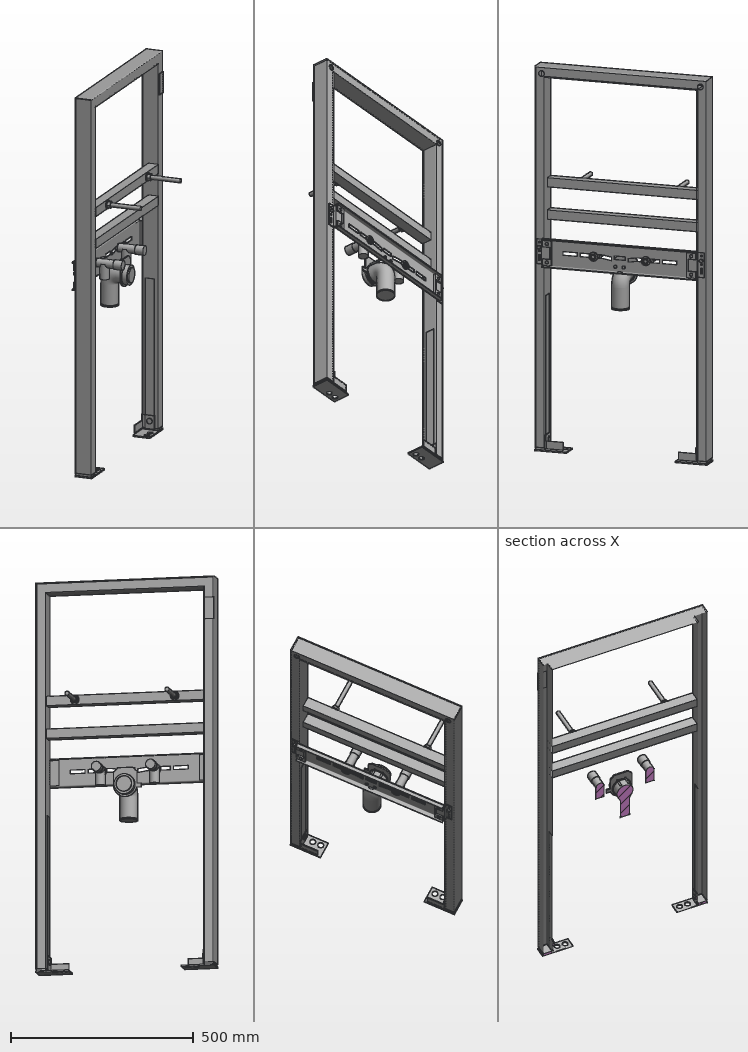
import cadquery as cq

FRAME_WIDTH = 500.0
FRAME_HEIGHT = 1085.0
TUBE_WIDTH = 30.0
TUBE_DEPTH = 50.0
TUBE_WALL = 3.0
TUBE_CORNER_RADIUS = 2.0
OUTER_Y = FRAME_WIDTH / 2
INNER_Y = OUTER_Y - TUBE_WIDTH
CORNER_HOLE_DIA = 16.0
CORNER_HOLE_INSET = 19.5

LEG_GUIDE_X = (10.0, 37.0)
LEG_GUIDE_DEPTH = 1.5
LEG_GUIDE_TOP_Z = 438.0

LABEL_WIDTH = 27.0
LABEL_HEIGHT = 60.0
LABEL_THICKNESS = 2.5
LABEL_TOP_Z = 1026.0

FOOT_PLATE_THICKNESS = 4.0
FOOT_PLATE_LENGTH = 92.0
FOOT_HOLE_DIA = 16.0
FOOT_HOLE_X = 35.0
FOOT_HOLES_Y = (198.0, 174.0)
POST_BOTTOM_Z = 10.0
STEM_INSET = 2.0
ANGLE_THICKNESS = 3.0
ANGLE_BOTTOM_Z = 8.0
ANGLE_UPRIGHT_WIDTH = 40.0
ANGLE_UPRIGHT_TOP_Z = 47.0
ANGLE_FLANGE_TOP_Z = 30.0
ANGLE_FLANGE_LENGTH = 53.0
FOOT_BOLT_DIA = 16.0
FOOT_BOLT_HEIGHT = 3.0
FOOT_BOLT_Z = 31.0

RAIL_HEIGHT = 26.0
RAIL_DEPTH = 30.0
UPPER_RAIL_Z = 755.0
LOWER_RAIL_Z = 664.0
ROD_DIA = 12.0
ROD_Y = 140.0
ROD_LENGTH = 100.0
WASHER_DIA = 24.0
WASHER_THICKNESS = 3.0
NUT_ACROSS_CORNERS = 20.0
NUT_THICKNESS = 9.0

BAR_Z = 564.0
BAR_HEIGHT = 80.0
BAR_LENGTH = 446.0
BAR_FLANGE_X = -20.0
BAR_FRONT_X = -6.0
BAR_THICKNESS = 2.5
BAR_CORNER_RADIUS = 3.5
BAR_REAR_X = BAR_FRONT_X - BAR_THICKNESS

SLOT_HEIGHT = 10.0
SLOT_Z = BAR_Z + 1.5
CENTRE_SLOT_LENGTH = 32.0
OUTER_SLOT_Y = (124.0, 165.0)
INNER_SLOT_Y = (24.0, 115.0)
INNER_SLOT_BEND_Y = 50.0
INNER_SLOT_DROP = 4.0

BRACKET_Y = (197.0, 243.0)
BRACKET_STEP_Y = (222.0, 226.0)
BRACKET_HEIGHT = 70.0
BRACKET_THICKNESS = 3.0
BRACKET_REAR_X = BAR_REAR_X - BRACKET_THICKNESS
CLAMP_BLOCK_HEIGHT = 18.0
CLAMP_BLOCK_OFFSET = (BRACKET_HEIGHT - CLAMP_BLOCK_HEIGHT) / 2
CLAMP_BLOCK_HOLE_DIA = 8.8
CLAMP_RIM_WIDTH = 4.0
CLAMP_BLOCK_REAR_X = -16.0
BRACKET_HOLE_Y = 235.0
BRACKET_HOLE_DIA = 5.0
BRACKET_HOLES_DZ = (26.0, 2.0)
BRACKET_SCREW_DIA = 9.3
BRACKET_SCREW_DZ = 13.0
BRACKET_SCREW_HEIGHT = 5.0
BRACKET_SLOT_LENGTH = 16.0
BRACKET_SLOT_DZ = -17.0

INLET_Y = 76.0
INLET_DIA = 27.0
INLET_BODY_DIA = 24.0
INLET_COLLAR_X = 45.0
INLET_END_X = 70.0
INLET_DROP_X = 15.0
INLET_DROP_BOTTOM_Z = 520.5
INLET_WASHER_DIA = 25.0
INLET_WASHER_THICKNESS = 3.0
INLET_NUT_ACROSS_CORNERS = 18.0
INLET_NUT_THICKNESS = 2.0
INLET_NUT_BORE_DIA = 10.0

DRAIN_Z = 514.0
DRAIN_DIA = 50.0
DRAIN_REAR_X = -26.5
DRAIN_X = DRAIN_REAR_X + DRAIN_DIA / 2
DRAIN_BEND_RADIUS = 29.0
DRAIN_BOTTOM_Z = 422.0
DRAIN_GROOVE_Z = (424.0, 427.0)
DRAIN_GROOVE_DIA = 48.0
DRAIN_FLANGE_DIA = 56.0
DRAIN_FLANGE_X = (40.0, 60.0)
DRAIN_LIP_DIA = 43.0
DRAIN_LIP_END_X = 64.0

CLAMP_X = (42.0, 46.0)
CLAMP_RADIUS = 33.0
CLAMP_TOP_Z = 562.0
CLAMP_CORNER_CHAMFER = 12.0
CLAMP_EAR_Y = 45.0
CLAMP_EAR_Z = (506.0, 517.0)
CLAMP_SCREW_Y = 12.0
CLAMP_SCREW_Z = 541.0
CLAMP_SCREW_DIA = 5.0
CLAMP_SCREW_HEAD_DIA = 8.8
CLAMP_SCREW_HEAD_HEIGHT = 3.0


def box(x_range, y_range, z_range):
    """Axis-aligned box from its extents."""
    low, high = zip(x_range, y_range, z_range)
    size = [b - a for a, b in zip(low, high)]
    return cq.Workplane("XY").box(*size, centered=False).translate(low)


def around(centre, size):
    """Range of the given size about a centre."""
    return (centre - size / 2, centre + size / 2)


def bar_x(diameter, x_range, y, z):
    """Round bar along X."""
    start, end = x_range
    return cq.Workplane("YZ", origin=(start, y, z)).circle(diameter / 2).extrude(end - start)


def hex_x(across_corners, x_range, y, z):
    """Hexagonal bar along X."""
    start, end = x_range
    return cq.Workplane("YZ", origin=(start, y, z)).polygon(6, across_corners).extrude(end - start)


def bar_z(diameter, x, y, z_range):
    """Round bar along Z."""
    start, end = z_range
    return cq.Workplane("XY", origin=(x, y, start)).circle(diameter / 2).extrude(end - start)


def both_sides(shape):
    """The shape together with its mirror image across Y=0."""
    return shape.union(shape.mirror("XZ"))


def portal(inset):
    """Two posts and a top beam of tube section, shrunk on all long faces by the inset."""
    x_range = (inset, TUBE_DEPTH - inset)
    outer = OUTER_Y - inset
    inner = INNER_Y + inset
    top = FRAME_HEIGHT - inset
    opening_top = FRAME_HEIGHT - TUBE_WIDTH + inset
    block = box(x_range, (-outer, outer), (POST_BOTTOM_Z, top))
    return block.cut(box(x_range, (-inner, inner), (POST_BOTTOM_Z, opening_top)))


def make_frame():
    outside = portal(0).faces("<X or >X").edges("not <Z").fillet(TUBE_CORNER_RADIUS)
    frame = outside.cut(portal(TUBE_WALL))
    hole_y = OUTER_Y - CORNER_HOLE_INSET
    hole_z = FRAME_HEIGHT - CORNER_HOLE_INSET
    hole = bar_x(CORNER_HOLE_DIA, (0, TUBE_WALL), hole_y, hole_z)
    guide = box(LEG_GUIDE_X, (INNER_Y, INNER_Y + LEG_GUIDE_DEPTH), (POST_BOTTOM_Z, LEG_GUIDE_TOP_Z))
    return frame.cut(both_sides(hole)).cut(both_sides(guide))


def make_label():
    x_range = (TUBE_DEPTH, TUBE_DEPTH + LABEL_THICKNESS)
    return box(x_range, (OUTER_Y - LABEL_WIDTH, OUTER_Y), (LABEL_TOP_Z - LABEL_HEIGHT, LABEL_TOP_Z))


def make_foot():
    plate_z = (0, FOOT_PLATE_THICKNESS)
    plate = box((0, TUBE_DEPTH), (OUTER_Y - FOOT_PLATE_LENGTH, OUTER_Y), plate_z)
    for y in FOOT_HOLES_Y:
        plate = plate.cut(bar_z(FOOT_HOLE_DIA, FOOT_HOLE_X, y, plate_z))
    stem_x = (STEM_INSET, TUBE_DEPTH - STEM_INSET)
    stem_y = (INNER_Y + STEM_INSET, OUTER_Y - STEM_INSET)
    stem = box(stem_x, stem_y, (FOOT_PLATE_THICKNESS, POST_BOTTOM_Z))
    return plate.union(stem)


def make_foot_angle():
    face_y = INNER_Y - ANGLE_THICKNESS
    upright = box((0, ANGLE_UPRIGHT_WIDTH), (face_y, INNER_Y), (ANGLE_BOTTOM_Z, ANGLE_UPRIGHT_TOP_Z))
    flange_y = (INNER_Y - ANGLE_FLANGE_LENGTH, INNER_Y)
    flange = box((0, ANGLE_THICKNESS), flange_y, (ANGLE_BOTTOM_Z, ANGLE_FLANGE_TOP_Z))
    bolt = cq.Workplane("XZ", origin=(TUBE_DEPTH / 2, face_y, FOOT_BOLT_Z)).circle(FOOT_BOLT_DIA / 2)
    return upright.union(flange).union(bolt.extrude(FOOT_BOLT_HEIGHT))


def make_rail(z):
    return box((TUBE_DEPTH - RAIL_DEPTH, TUBE_DEPTH), (-INNER_Y, INNER_Y), around(z, RAIL_HEIGHT))


def make_rod():
    washer_end = TUBE_DEPTH + WASHER_THICKNESS
    rod = bar_x(ROD_DIA, (TUBE_DEPTH, TUBE_DEPTH + ROD_LENGTH), ROD_Y, UPPER_RAIL_Z)
    washer = bar_x(WASHER_DIA, (TUBE_DEPTH, washer_end), ROD_Y, UPPER_RAIL_Z)
    nut = hex_x(NUT_ACROSS_CORNERS, (washer_end, washer_end + NUT_THICKNESS), ROD_Y, UPPER_RAIL_Z)
    return rod.union(washer).union(nut)


def make_inner_slot():
    """Slot cutter whose inner end slopes downwards."""
    inner, outer = INNER_SLOT_Y
    low, high = around(SLOT_Z, SLOT_HEIGHT)
    outline = [
        (outer, low),
        (outer, high),
        (INNER_SLOT_BEND_Y, high),
        (inner, high - INNER_SLOT_DROP),
        (inner, low - INNER_SLOT_DROP),
        (INNER_SLOT_BEND_Y, low),
    ]
    return cq.Workplane("YZ", origin=(BAR_REAR_X, 0, 0)).polyline(outline).close().extrude(BAR_THICKNESS)


def make_bar():
    y_range = around(0, BAR_LENGTH)
    bar = box((BAR_FLANGE_X, BAR_FRONT_X), y_range, around(BAR_Z, BAR_HEIGHT))
    bar = bar.faces(">X").edges("|Y").fillet(BAR_CORNER_RADIUS)
    hollow = box((BAR_FLANGE_X, BAR_REAR_X), y_range, around(BAR_Z, BAR_HEIGHT - 2 * BAR_THICKNESS))
    bar = bar.cut(hollow.faces(">X").edges("|Y").fillet(BAR_CORNER_RADIUS - BAR_THICKNESS))
    web_x = (BAR_REAR_X, BAR_FRONT_X)
    slot_z = around(SLOT_Z, SLOT_HEIGHT)
    bar = bar.cut(box(web_x, around(0, CENTRE_SLOT_LENGTH), slot_z))
    return bar.cut(both_sides(box(web_x, OUTER_SLOT_Y, slot_z).union(make_inner_slot())))


def make_bracket():
    inner, outer = BRACKET_Y
    z_range = around(BAR_Z, BRACKET_HEIGHT)
    foot_x = (-BRACKET_THICKNESS, 0)
    foot = box(foot_x, (BRACKET_STEP_Y[0], outer), z_range)
    for dz in BRACKET_HOLES_DZ:
        foot = foot.cut(bar_x(BRACKET_HOLE_DIA, foot_x, BRACKET_HOLE_Y, BAR_Z + dz))
    slot_z = around(BAR_Z + BRACKET_SLOT_DZ, BRACKET_SLOT_LENGTH)
    foot = foot.cut(box(foot_x, around(BRACKET_HOLE_Y, BRACKET_HOLE_DIA), slot_z))
    screw_x = (-BRACKET_THICKNESS - BRACKET_SCREW_HEIGHT, -BRACKET_THICKNESS)
    screw = bar_x(BRACKET_SCREW_DIA, screw_x, BRACKET_HOLE_Y, BAR_Z + BRACKET_SCREW_DZ)
    step = box((BRACKET_REAR_X, 0), BRACKET_STEP_Y, z_range)
    plate = box((BRACKET_REAR_X, BAR_REAR_X), (inner, BRACKET_STEP_Y[1]), z_range)
    bracket = foot.union(screw).union(step).union(plate)
    block_x = (CLAMP_BLOCK_REAR_X, BRACKET_REAR_X)
    block_y = (inner, BRACKET_STEP_Y[0])
    for dz in (-CLAMP_BLOCK_OFFSET, CLAMP_BLOCK_OFFSET):
        block_z = around(BAR_Z + dz, CLAMP_BLOCK_HEIGHT)
        block = box(block_x, block_y, block_z)
        block = block.cut(bar_x(CLAMP_BLOCK_HOLE_DIA, block_x, sum(block_y) / 2, BAR_Z + dz))
        bracket = bracket.union(block)
    return bracket.union(box(block_x, (inner, inner + CLAMP_RIM_WIDTH), z_range))


def make_inlet():
    inlet = bar_x(INLET_BODY_DIA, (BAR_FRONT_X, INLET_COLLAR_X), INLET_Y, BAR_Z)
    inlet = inlet.union(bar_x(INLET_DIA, (INLET_COLLAR_X, INLET_END_X), INLET_Y, BAR_Z))
    inlet = inlet.union(bar_z(INLET_DIA, INLET_DROP_X, INLET_Y, (INLET_DROP_BOTTOM_Z, BAR_Z)))
    washer_x = BAR_REAR_X - INLET_WASHER_THICKNESS
    nut_x = (washer_x - INLET_NUT_THICKNESS, washer_x)
    washer = bar_x(INLET_WASHER_DIA, (washer_x, BAR_FRONT_X), INLET_Y, BAR_Z)
    nut = hex_x(INLET_NUT_ACROSS_CORNERS, nut_x, INLET_Y, BAR_Z)
    nut = nut.cut(bar_x(INLET_NUT_BORE_DIA, nut_x, INLET_Y, BAR_Z))
    return inlet.union(washer).union(nut)


def make_drain():
    bend_z = DRAIN_Z - DRAIN_BEND_RADIUS
    drop = bar_z(DRAIN_DIA, DRAIN_X, 0, (DRAIN_BOTTOM_Z, bend_z))
    groove = bar_z(DRAIN_DIA, DRAIN_X, 0, DRAIN_GROOVE_Z)
    groove = groove.cut(bar_z(DRAIN_GROOVE_DIA, DRAIN_X, 0, DRAIN_GROOVE_Z))
    bend = cq.Workplane("XY", origin=(DRAIN_X, 0, bend_z)).circle(DRAIN_DIA / 2)
    bend = bend.revolve(90, (DRAIN_BEND_RADIUS, 0, 0), (DRAIN_BEND_RADIUS, 1, 0))
    flange_start, flange_end = DRAIN_FLANGE_X
    outlet = bar_x(DRAIN_DIA, (DRAIN_X + DRAIN_BEND_RADIUS, flange_end), 0, DRAIN_Z)
    flange = bar_x(DRAIN_FLANGE_DIA, DRAIN_FLANGE_X, 0, DRAIN_Z)
    lip = bar_x(DRAIN_LIP_DIA, (flange_start, DRAIN_LIP_END_X), 0, DRAIN_Z)
    return drop.cut(groove).union(bend).union(outlet).union(flange).union(lip)


def make_drain_clamp():
    plate = box(CLAMP_X, around(0, 2 * CLAMP_RADIUS), (DRAIN_Z, CLAMP_TOP_Z))
    plate = plate.edges("|X and >Z").chamfer(CLAMP_CORNER_CHAMFER)
    ring = bar_x(2 * CLAMP_RADIUS, CLAMP_X, 0, DRAIN_Z)
    ear = box(CLAMP_X, (0, CLAMP_EAR_Y), CLAMP_EAR_Z)
    screw = bar_x(CLAMP_SCREW_DIA, (BAR_REAR_X, CLAMP_X[1]), CLAMP_SCREW_Y, CLAMP_SCREW_Z)
    head_x = (BAR_REAR_X - CLAMP_SCREW_HEAD_HEIGHT, BAR_REAR_X)
    head = bar_x(CLAMP_SCREW_HEAD_DIA, head_x, CLAMP_SCREW_Y, CLAMP_SCREW_Z)
    return plate.union(ring).union(ear).union(both_sides(screw.union(head)))


PARTS = (
    make_label(),
    both_sides(make_foot()),
    both_sides(make_foot_angle()),
    make_rail(UPPER_RAIL_Z),
    make_rail(LOWER_RAIL_Z),
    both_sides(make_rod()),
    make_bar(),
    both_sides(make_bracket()),
    both_sides(make_inlet()),
    make_drain(),
    make_drain_clamp(),
)

result = make_frame()
for part in PARTS:
    result = result.union(part)